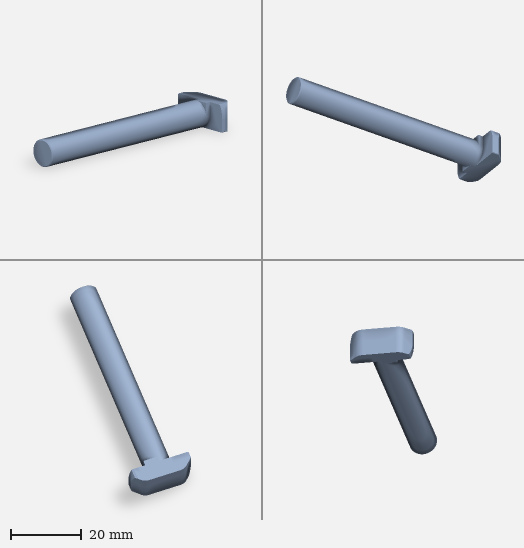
import cadquery as cq
import math

total_length = 66.5
shaft_diameter = 8.0
shaft_radius = shaft_diameter / 2
shaft_end_chamfer = 0.25

head_width = 18.0
head_half_width = head_width / 2
head_height = shaft_diameter
head_half_height = head_height / 2
head_thickness = 5.0
bevel_size = 3.0
bevel_blend_radius = 3.0

square_edge_chamfer = 0.2
square_edge_x = head_half_width - square_edge_chamfer
square_edge_z = head_half_height - square_edge_chamfer
arc_chamfer_width = 0.65
arc_chamfer_depth = 0.15
arc_end_z = head_half_height - arc_chamfer_depth

neck_length = 1.5

head_top = total_length / 2
head_underside = head_top - head_thickness
neck_end = head_underside - neck_length
shaft_end = head_top - total_length


def prism_along_y(outline, y_start, y_end):
    """Extrude an outline drawn on the XZ plane from y_start to the lower y_end."""
    return outline.extrude(y_start - y_end).translate((0, y_start, 0))


def head_outline():
    """Rectangle whose +X+Z and -X-Z corners are cut by arcs centred on the bolt axis.

    The arcs reach out to the head ends, so the head can turn a quarter turn in its slot.
    A shallow chamfer joins each arc to the flat side, and the square corners are chamfered.
    """
    arc_end_angle = math.asin(arc_end_z / head_half_width)
    arc_end_x = head_half_width * math.cos(arc_end_angle)
    arc_mid_x = head_half_width * math.cos(arc_end_angle / 2)
    arc_mid_z = head_half_width * math.sin(arc_end_angle / 2)
    outline = cq.Workplane("XZ").moveTo(head_half_width, -square_edge_z)
    for side in (1, -1):
        outline = (
            outline.lineTo(side * head_half_width, 0)
            .threePointArc((side * arc_mid_x, side * arc_mid_z), (side * arc_end_x, side * arc_end_z))
            .lineTo(side * (arc_end_x - arc_chamfer_width), side * head_half_height)
            .lineTo(-side * square_edge_x, side * head_half_height)
            .lineTo(-side * head_half_width, side * square_edge_z)
        )
    return outline.close()


def bevelled_envelope():
    """Head silhouette across X and Y: 45 degree bevels blended into the flat top."""
    flat_half_width = head_half_width - bevel_size
    bevel_foot = head_top - bevel_size
    envelope = (
        cq.Workplane("XY")
        .polyline([
            (-head_half_width, head_underside),
            (head_half_width, head_underside),
            (head_half_width, bevel_foot),
            (flat_half_width, head_top),
            (-flat_half_width, head_top),
            (-head_half_width, bevel_foot),
        ])
        .close()
        .extrude(head_half_height, both=True)
    )
    return envelope.edges("|Z and >Y").fillet(bevel_blend_radius)


def make_head():
    """Head plate with its lengthwise edges broken, then trimmed by the bevels."""
    block = prism_along_y(head_outline(), head_top, head_underside)
    return block.intersect(bevelled_envelope())


def make_neck():
    """Square corners fill the +X+Z and -X-Z quadrants; the others follow the shaft."""
    neck = None
    for side in (1, -1):
        quadrant = (
            cq.Workplane("XZ")
            .center(side * shaft_radius / 2, side * shaft_radius / 2)
            .rect(shaft_radius, shaft_radius)
        )
        corner = prism_along_y(quadrant, head_underside, neck_end)
        neck = corner if neck is None else neck.union(corner)
    return neck


def make_shaft():
    shaft = prism_along_y(cq.Workplane("XZ").circle(shaft_radius), head_underside, shaft_end)
    return shaft.faces("<Y").chamfer(shaft_end_chamfer)


result = make_head().union(make_shaft()).union(make_neck())